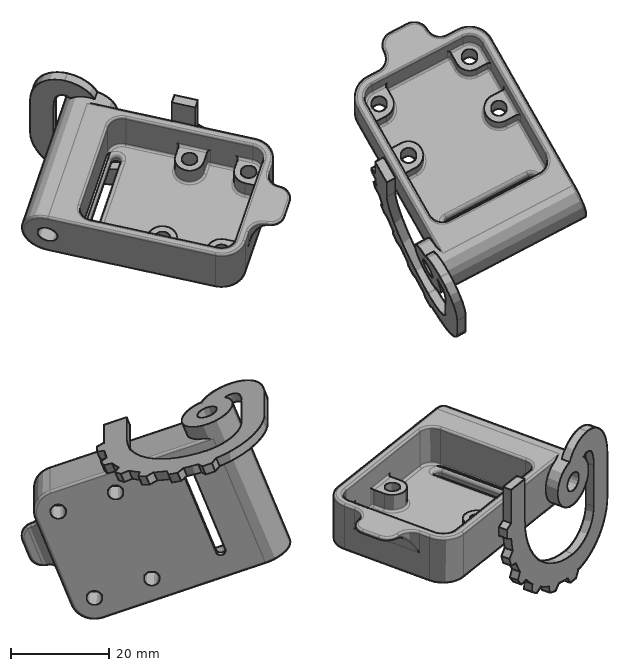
import cadquery as cq
import math

tolerance = 0.01
half_root = math.sqrt(0.5)

barrel_radius = 5.56
pin_hole_diameter = 4.2
body_width = 31.0
body_length = 40.42
corner_radius = 5.0
edge_fillet = 0.5
body_top = barrel_radius
body_bottom = -barrel_radius
middle_y = body_width / 2

wall = 2.0
floor_thickness = 2.0
cavity_left = barrel_radius
cavity_right = body_length - wall
cavity_front = wall
cavity_back = body_width - wall
cavity_corner_radius = corner_radius - wall
cavity_floor = body_bottom + floor_thickness

screw_hole_diameter = 3.2
screw_spacing_x = 12.5
screw_x_right = body_length - corner_radius
screw_x_left = screw_x_right - screw_spacing_x
screw_y_front = corner_radius
screw_y_back = body_width - corner_radius
boss_radius = 3.0
boss_height = 4.0
boss_top = cavity_floor + boss_height

slot_width = 2.0
slot_length = 21.0
slot_fillet = 1.0
slot_x = cavity_left + slot_width

tab_length = 6.0
tab_plan_radius = tab_length / 2
tab_half_width = 5.0
tab_thickness = 1.0
tab_blend_radius = 4.0
tab_underside_fillet = 0.49
tab_tip_x = body_length + tab_length
tab_underside = body_top - tab_thickness

ring_thickness = 2.0
ring_gap = 1.0
ring_back = body_width + ring_gap + ring_thickness
ring_band = 5.0
sector_outer_radius = 22.5
sector_inner_radius = sector_outer_radius - ring_band
bend_outer_radius = 12.5
bend_inner_radius = bend_outer_radius - ring_band
bend_z = bend_outer_radius - sector_outer_radius
stop_top = 10.0

tooth_tip_radius = 24.0
tooth_root_radius = 22.3
tooth_tip_width = 2.1
tooth_root_width = 4.0
tooth_count = 6
tooth_pitch = 18.0

hook_crown_x = -5.2
hook_outer_crown_z = 9.5
hook_outer_rise_handle = 6.5
hook_outer_crown_handle = 3.5
hook_outer_arc_radius = 7.1
hook_inner_crown_z = hook_outer_crown_z - ring_band
hook_inner_rise_handle = 3.1
hook_inner_crown_handle = 1.35
hook_inner_arc_radius = 1.5
hook_arc_sweep = 80.0


def box(x_range, y_range, z_range):
    size = [high - low for low, high in (x_range, y_range, z_range)]
    corner = (x_range[0], y_range[0], z_range[0])
    return cq.Workplane("XY").box(*size, centered=False).translate(corner)


def cylinder_z(x, y, radius, z_low, z_high):
    return cq.Workplane("XY", origin=(x, y, z_low)).circle(radius).extrude(z_high - z_low)


def cylinder_y(radius, y_low, y_high):
    return cq.Workplane("XZ", origin=(0, y_low, 0)).circle(radius).extrude(y_low - y_high)


def level_edges(solid, z):
    """Edges inside the cavity outline that lie at height z."""
    low = (cavity_left - tolerance, cavity_front - tolerance, z - tolerance)
    high = (cavity_right + tolerance, cavity_back + tolerance, z + tolerance)
    return solid.edges(cq.selectors.BoxSelector(low, high, boundingbox=True))


def make_tab():
    """Finger tab at the top of the end face, blended into it in plan and from below."""
    root_x = body_length - wall
    neck_x = body_length + tab_plan_radius
    plan_bend = tab_plan_radius * half_root
    root_y = tab_half_width + tab_plan_radius
    tip_y = tab_half_width - tab_plan_radius
    plan = (
        cq.Workplane("XY", origin=(0, middle_y, body_top))
        .moveTo(root_x, -root_y)
        .lineTo(body_length, -root_y)
        .threePointArc((neck_x - plan_bend, -root_y + plan_bend), (neck_x, -tab_half_width))
        .threePointArc((neck_x + plan_bend, -tip_y - plan_bend), (tab_tip_x, -tip_y))
        .lineTo(tab_tip_x, tip_y)
        .threePointArc((neck_x + plan_bend, tip_y + plan_bend), (neck_x, tab_half_width))
        .threePointArc((neck_x - plan_bend, root_y - plan_bend), (body_length, root_y))
        .lineTo(root_x, root_y)
        .close()
        .extrude(-tab_thickness - tab_blend_radius)
    )
    blend_x = body_length + tab_blend_radius
    blend_z = tab_underside - tab_blend_radius
    blend_bend = tab_blend_radius * half_root
    side = (
        cq.Workplane("XZ")
        .moveTo(root_x, body_top)
        .lineTo(tab_tip_x, body_top)
        .lineTo(tab_tip_x, tab_underside)
        .lineTo(blend_x, tab_underside)
        .threePointArc((blend_x - blend_bend, blend_z + blend_bend), (body_length, blend_z))
        .lineTo(root_x, blend_z)
        .close()
        .extrude(-body_width)
    )
    return plan.intersect(side)


def fillet_outer_rims(body):
    """Round the top, bottom, front and back rims, but not the lines where the barrel meets the flats."""
    rims = body.faces("<Y or >Y or <Z or >Z").edges("not |Z")
    rims = rims.filter(lambda edge: edge.geomType() == "CIRCLE" or edge.Center().x > tolerance)
    return rims.fillet(edge_fillet)


def fillet_tab_underside(body):
    """Round the lower outline of the tab, down to where it runs out in the end face."""
    low = (body_length + tolerance, 0, tab_underside - tab_blend_radius)
    high = (tab_tip_x + tolerance, body_width, tab_underside + tolerance)
    blend_x = body_length + tab_blend_radius
    outline = body.edges(cq.selectors.BoxSelector(low, high))
    outline = outline.filter(lambda edge: abs(edge.Center().x - blend_x) > tolerance)
    return outline.fillet(tab_underside_fillet)


def make_body():
    slab = box((0, body_length), (0, body_width), (body_bottom, body_top))
    slab = slab.edges("|Z and >X").fillet(corner_radius)
    body = slab.union(cylinder_y(barrel_radius, 0, body_width)).union(make_tab())
    return fillet_tab_underside(fillet_outer_rims(body))


def make_boss(x, y):
    """Screw boss joined to the nearest side wall; a right-hand boss is joined to the end wall too."""
    heights = (cavity_floor, boss_top)
    wall_y = cavity_front if y < middle_y else cavity_back
    inner_y = y + math.copysign(boss_radius, middle_y - y)
    boss = cylinder_z(x, y, boss_radius, *heights)
    boss = boss.union(box((x - boss_radius, x + boss_radius), sorted((y, wall_y)), heights))
    if x == screw_x_right:
        boss = boss.union(box((x, cavity_right), sorted((inner_y, wall_y)), heights))
    return boss


def on_cavity_wall(edge):
    center = edge.Center()
    gaps = (center.y - cavity_front, center.y - cavity_back, center.x - cavity_right)
    return min(abs(gap) for gap in gaps) < tolerance


def beside_boss(edge):
    return edge.BoundingBox().zmax < boss_top + tolerance


def cut_cavity(body):
    cavity = box((cavity_left, cavity_right), (cavity_front, cavity_back), (cavity_floor, body_top))
    cavity = cavity.edges("|Z").fillet(cavity_corner_radius)
    for x in (screw_x_left, screw_x_right):
        for y in (screw_y_front, screw_y_back):
            cavity = cavity.cut(make_boss(x, y))
    cavity = cavity.edges("|Z").filter(on_cavity_wall).filter(beside_boss).fillet(edge_fillet)
    cavity = cavity.faces("<Z").edges().fillet(edge_fillet)
    cavity = level_edges(cavity, boss_top).filter(on_cavity_wall).fillet(edge_fillet)
    body = body.cut(cavity)
    return level_edges(body, body_top).fillet(edge_fillet)


def cut_screw_holes(body):
    for x in (screw_x_left, screw_x_right):
        for y in (screw_y_front, screw_y_back):
            body = body.cut(cylinder_z(x, y, screw_hole_diameter / 2, body_bottom, body_top))
    return body


def cut_slot(body):
    """Cut the slot with a rounded upper edge, so that it widens towards the cavity floor."""
    base = cq.Workplane("XY", origin=(slot_x, middle_y, body_bottom))
    surround = base.rect(3 * slot_width, slot_length + 2 * slot_width).extrude(floor_thickness)
    collar = surround.cut(base.slot2D(slot_length, slot_width, 90).extrude(floor_thickness))
    collar = collar.faces(">Z").edges("not (<X or >X or <Y or >Y)").fillet(slot_fillet)
    return body.cut(surround.cut(collar))


def hook_arc(crown_z, radius):
    """Middle and end points of the arc that runs down from the crown into the barrel."""
    angles = (math.radians(hook_arc_sweep / 2), math.radians(hook_arc_sweep))
    return [
        (hook_crown_x + radius * math.sin(angle), crown_z - radius + radius * math.cos(angle))
        for angle in angles
    ]


def hook_rise(start_x, crown_z, rise_handle, crown_handle):
    """Bezier control points from the straight side, upright at first, to the level crown."""
    return [
        (start_x, 0),
        (start_x, rise_handle),
        (hook_crown_x - crown_handle, crown_z),
        (hook_crown_x, crown_z),
    ]


def make_tooth(angle):
    tip = tooth_tip_width / 2
    root = tooth_root_width / 2
    corners = [
        (tooth_root_radius, -root),
        (tooth_tip_radius, -tip),
        (tooth_tip_radius, tip),
        (tooth_root_radius, root),
    ]
    plane = cq.Workplane("XZ", origin=(0, ring_back, 0))
    tooth = plane.polyline(corners).close().extrude(ring_thickness)
    return tooth.rotate((0, 0, 0), (0, 1, 0), angle)


def make_ring():
    """Open ring: hook, straight side, bend, toothed quarter sector and upright stop."""
    outer_rise = hook_rise(
        -bend_outer_radius, hook_outer_crown_z, hook_outer_rise_handle, hook_outer_crown_handle
    )
    inner_rise = hook_rise(
        -bend_inner_radius, hook_inner_crown_z, hook_inner_rise_handle, hook_inner_crown_handle
    )
    outer_arc_middle, outer_arc_end = hook_arc(hook_outer_crown_z, hook_outer_arc_radius)
    inner_arc_middle, inner_arc_end = hook_arc(hook_inner_crown_z, hook_inner_arc_radius)
    outer_bend = bend_outer_radius * half_root
    inner_bend = bend_inner_radius * half_root
    outer_sector = sector_outer_radius * half_root
    inner_sector = sector_inner_radius * half_root
    ring = (
        cq.Workplane("XZ", origin=(0, ring_back, 0))
        .moveTo(-bend_outer_radius, 0)
        .bezier(outer_rise)
        .threePointArc(outer_arc_middle, outer_arc_end)
        .lineTo(*inner_arc_end)
        .threePointArc(inner_arc_middle, (hook_crown_x, hook_inner_crown_z))
        .bezier(inner_rise[::-1])
        .lineTo(-bend_inner_radius, bend_z)
        .threePointArc((-inner_bend, bend_z - inner_bend), (0, -sector_inner_radius))
        .threePointArc((inner_sector, -inner_sector), (sector_inner_radius, 0))
        .lineTo(sector_inner_radius, stop_top)
        .lineTo(sector_outer_radius, stop_top)
        .lineTo(sector_outer_radius, 0)
        .threePointArc((outer_sector, -outer_sector), (0, -sector_outer_radius))
        .threePointArc((-outer_bend, bend_z - outer_bend), (-bend_outer_radius, bend_z))
        .close()
        .extrude(ring_thickness)
    )
    for index in range(tooth_count):
        ring = ring.union(make_tooth(index * tooth_pitch))
    return ring


body = cut_slot(cut_screw_holes(cut_cavity(make_body())))
barrel_extension = cylinder_y(barrel_radius, body_width - edge_fillet, ring_back)
pin_hole = cylinder_y(pin_hole_diameter / 2, 0, ring_back)
result = body.union(barrel_extension).union(make_ring()).cut(pin_hole)